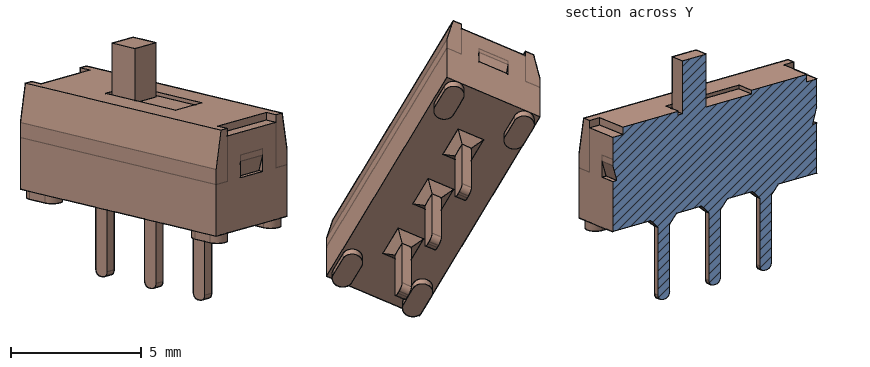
import cadquery as cq


length = 10.2
width = 4.0
housing_height = 4.15
parting_height = 2.05
taper_start_height = 2.65
top_width = 3.45

tongue_width = 2.74
tongue_depth = 0.5
tongue_drop = 0.3

window_width = 1.25
window_height = 0.9
latch_slope_height = 0.65
latch_depth = 0.2

slot_length = 3.65
slot_width = 1.48
slot_depth = 0.15
knob_size = 1.2
knob_height = 2.0
knob_clearance = 0.2

foot_length = 1.6
foot_width = 0.8
foot_height = 0.35
foot_y = 1.505

pin_pitch = 2.54
pin_width = 0.6
pin_thickness = 0.4
pin_length = 3.35
pin_tip_radius = 0.25
collar_height = 0.35


def make_cover():
    outline = [
        (-width / 2, parting_height),
        (width / 2, parting_height),
        (width / 2, taper_start_height),
        (top_width / 2, housing_height),
        (-top_width / 2, housing_height),
        (-width / 2, taper_start_height),
    ]
    cover = cq.Workplane("YZ").polyline(outline).close().extrude(length / 2, both=True)
    notch_height = housing_height - parting_height
    for side in (-1, 1):
        notch = (
            cq.Workplane("XY", origin=(side * (length - tongue_depth) / 2, 0, parting_height))
            .box(tongue_depth, tongue_width, notch_height, centered=(True, True, False))
        )
        cover = cover.cut(notch)
    slot = (
        cq.Workplane("XY", origin=(0, 0, housing_height - slot_depth))
        .box(slot_length, slot_width, slot_depth, centered=(True, True, False))
    )
    return cover.cut(slot)


def make_latch(side):
    """Latch in a window: flush with the end face at the top, sloping inwards to the window floor."""
    end_x = side * length / 2
    inner_x = end_x - side * tongue_depth
    profile = [
        (inner_x, parting_height),
        (end_x - side * latch_depth, parting_height),
        (end_x, parting_height + latch_slope_height),
        (end_x, parting_height + window_height),
        (inner_x, parting_height + window_height),
    ]
    return cq.Workplane("XZ").polyline(profile).close().extrude(window_width / 2, both=True)


def make_base():
    base = cq.Workplane("XY").box(length, width, parting_height, centered=(True, True, False))
    tongue_height = housing_height - tongue_drop - parting_height
    for side in (-1, 1):
        tongue_start = (side * (length - tongue_depth) / 2, 0, parting_height)
        tongue = (
            cq.Workplane("XY", origin=tongue_start)
            .box(tongue_depth, tongue_width, tongue_height, centered=(True, True, False))
        )
        window = (
            cq.Workplane("XY", origin=tongue_start)
            .box(tongue_depth, window_width, window_height, centered=(True, True, False))
        )
        base = base.union(tongue.cut(window))
    return base


def make_knob():
    knob_x = -slot_length / 2 + knob_clearance + knob_size / 2
    return (
        cq.Workplane("XY", origin=(knob_x, 0, housing_height - slot_depth))
        .box(knob_size, knob_size, knob_height + slot_depth, centered=(True, True, False))
    )


def make_feet():
    foot_x = (length - foot_length) / 2
    centres = [(x, y) for x in (-foot_x, foot_x) for y in (-foot_y, foot_y)]
    return cq.Workplane("XY").pushPoints(centres).slot2D(foot_length, foot_width).extrude(-foot_height)


def make_pin(pin_x):
    blade = (
        cq.Workplane("XY", origin=(pin_x, 0, -pin_length))
        .box(pin_width, pin_thickness, pin_length, centered=(True, True, False))
        .faces("<Z").edges("|Y").fillet(pin_tip_radius)
    )
    collar = (
        cq.Workplane("XY", origin=(pin_x, 0, -collar_height))
        .rect(pin_width, pin_thickness)
        .workplane(offset=collar_height)
        .rect(pin_width + 2 * collar_height, pin_thickness + 2 * collar_height)
        .loft(ruled=True)
    )
    return blade.union(collar)


result = make_base().union(make_cover(), clean=False)
for side in (-1, 1):
    result = result.union(make_latch(side), clean=False)
result = result.union(make_knob(), clean=False).union(make_feet(), clean=False)
for pin_x in (-pin_pitch, 0, pin_pitch):
    result = result.union(make_pin(pin_x), clean=False)